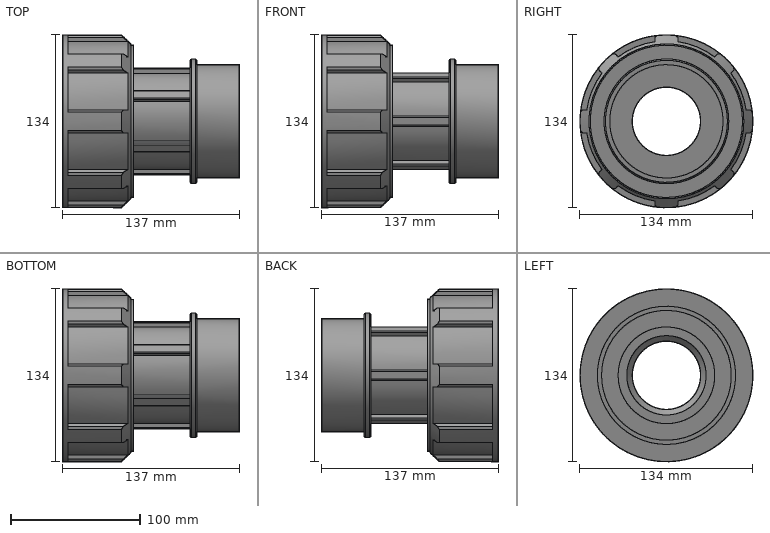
import cadquery as cq
import math

total_length = 137.0
nut_length = 55.1
nut_flange_width = 4.4
nut_chamfer_start = 45.6
nut_chamfer_end = 53.0
collar_start = 98.8
collar_end = 104.1
bore_taper_length = 5.0
bore_taper_end = collar_end
bore_taper_start = bore_taper_end - bore_taper_length

nut_radius = 134.0 / 2
nut_chamfer_end_radius = 60.0
nut_back_radius = 118.0 / 2
neck_radius = 75.0 / 2
collar_radius = 96.7 / 2
spigot_radius = 87.8 / 2
bore_front_radius = 61.5 / 2
bore_back_radius = 52.7 / 2
collar_chamfer = 1.1

lip_radius = 107.1 / 2
lip_depth = 2.0
cavity_radius = 100.5 / 2
cavity_depth = 32.9

pad_count = 8
pad_half_width = 8.9
pad_top_half_width = 7.1
pad_shoulder_radius = 65.0
pocket_floor_radius = 62.3
cutter_clearance = 1.4

rib_count = 6
rib_radius = 41.5
rib_half_width = 4.0
rib_chamfer = 1.0


def cylinder(radius, start, end):
    return cq.Workplane("YZ").workplane(offset=start).circle(radius).extrude(end - start)


def around_axis(shape, count):
    """Union of copies of a shape spaced evenly about the X axis."""
    copies = shape
    for i in range(1, count):
        copies = copies.union(shape.rotate((0, 0, 0), (1, 0, 0), i * 360 / count))
    return copies


def make_nut_blank():
    return (
        cq.Workplane("XY")
        .moveTo(0, 0)
        .lineTo(0, nut_radius)
        .lineTo(nut_chamfer_start, nut_radius)
        .lineTo(nut_chamfer_end, nut_chamfer_end_radius)
        .lineTo(nut_chamfer_end, nut_back_radius)
        .lineTo(nut_length, nut_back_radius)
        .lineTo(nut_length, 0)
        .close()
        .revolve(360, (0, 0, 0), (1, 0, 0))
    )


def make_pad():
    bevel_slope = (pad_half_width - pad_top_half_width) / (
        math.sqrt(nut_radius**2 - pad_top_half_width**2) - pad_shoulder_radius
    )
    blank_radius = nut_radius + cutter_clearance
    blank_half_width = pad_half_width - bevel_slope * (blank_radius - pad_shoulder_radius)
    return (
        cq.Workplane("YZ")
        .workplane(offset=nut_flange_width)
        .moveTo(-pad_half_width, 0)
        .lineTo(-pad_half_width, pad_shoulder_radius)
        .lineTo(-blank_half_width, blank_radius)
        .lineTo(blank_half_width, blank_radius)
        .lineTo(pad_half_width, pad_shoulder_radius)
        .lineTo(pad_half_width, 0)
        .close()
        .extrude(nut_length - nut_flange_width)
    )


def make_nut():
    blank = make_nut_blank()
    pockets = cylinder(nut_radius + cutter_clearance, nut_flange_width, nut_length).cut(
        cylinder(pocket_floor_radius, nut_flange_width, nut_length)
    )
    pockets = pockets.cut(around_axis(make_pad(), pad_count))
    return blank.cut(pockets)


def make_cavity():
    lip = cylinder(lip_radius, 0, lip_depth)
    return lip.union(cylinder(cavity_radius, 0, cavity_depth)).cut(
        cylinder(neck_radius, 0, cavity_depth)
    )


def make_ribs():
    rib = (
        cq.Workplane("XY")
        .box(collar_start - nut_length, 2 * rib_half_width, rib_radius, centered=(False, True, False))
        .edges("|X and >Z")
        .chamfer(rib_chamfer)
        .translate((nut_length, 0, 0))
        .rotate((0, 0, 0), (1, 0, 0), 90)
    )
    return around_axis(rib, rib_count)


def make_bore():
    return (
        cq.Workplane("XY")
        .polyline([
            (0, 0),
            (0, bore_front_radius),
            (bore_taper_start, bore_front_radius),
            (bore_taper_end, bore_back_radius),
            (total_length, bore_back_radius),
            (total_length, 0),
        ])
        .close()
        .revolve(360, (0, 0, 0), (1, 0, 0))
    )


collar = cylinder(collar_radius, collar_start, collar_end).edges().chamfer(collar_chamfer)

result = (
    make_nut()
    .cut(make_cavity())
    .union(cylinder(neck_radius, nut_length, collar_start))
    .union(make_ribs())
    .union(collar)
    .union(cylinder(spigot_radius, collar_end, total_length))
    .cut(make_bore())
)